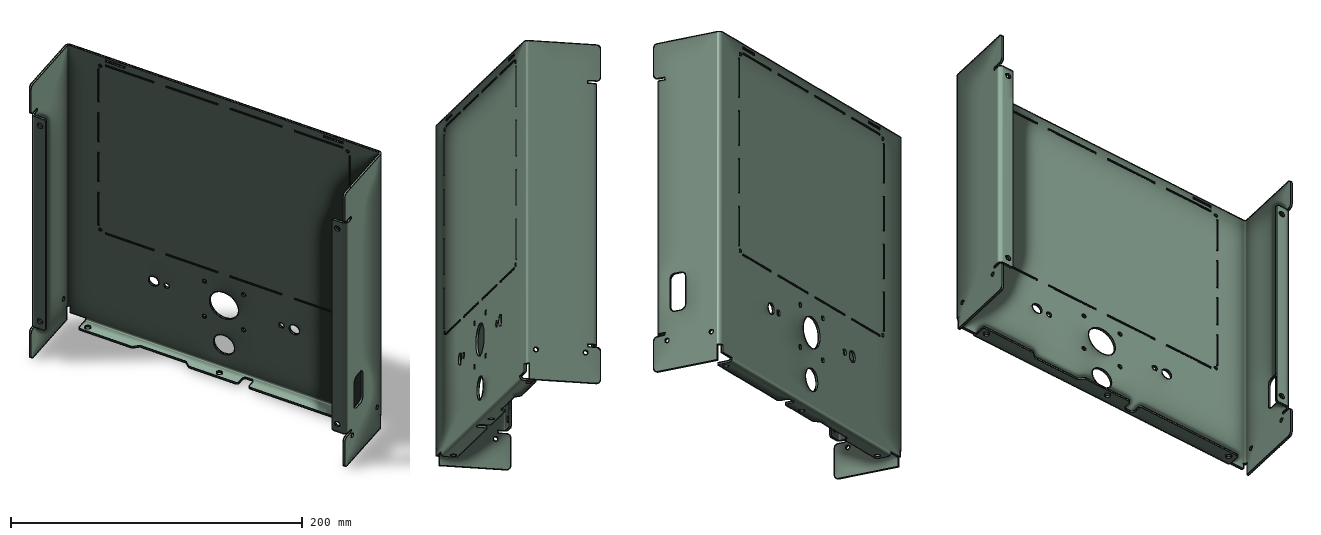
import cadquery as cq

width = 247.5
depth = 53.5
height = 239.5
sheet = 1.5
bend_radius = 3.0
inner_bend_radius = bend_radius - sheet

back = depth / 2
front = -depth / 2
top = height / 2
bottom = -height / 2
wall_outer = width / 2
wall_inner = wall_outer - sheet
panel_inner = back - sheet
bend_start_x = wall_outer - bend_radius
bend_start_y = back - bend_radius

flange_bottom = -117.0
panel_bottom = flange_bottom + bend_radius
relief_top = -108.6
panel_corner_radius = 0.7

wall_corner_radius = 3.0
lip_length = 184.5
lip_gap = 2.0
lip_front = -24.5
lip_tip_x = 112.3
lip_corner_radius = 1.5
notch_end = -17.5
notch_corner_radius = 1.0
lip_hole_x = 116.5
lip_hole_spacing = 171.2
lip_hole_diameter = 4.2
wall_hole_diameter = 3.2
wall_hole_z = -98.5
wall_hole_ys = (19.0, -16.0)
wall_opening_width = 12.4
wall_opening_corner_radius = 4.0
wall_opening_length = 27.7
wall_opening_y = -7.5
wall_opening_z = -64.3

flange_half_width = 108.5
flange_front = 14.8
flange_corner_radius = 1.2
flange_hole_spacing = 103.2
flange_hole_y = 18.8
flange_hole_diameter = 4.2
recess_left = -66.3
recess_right = -21.8
recess_slope_width = 4.2
recess_depth = 3.7
cable_notch_x = 20.8
cable_notch_width = 8.2
cable_notch_depth = 8.5
cable_notch_top_radius = 2.5
cable_notch_mouth_radius = 1.7

outline_z = 39.3
outline_half_width = 98.5
outline_half_height = 73.5
slit_width = 1.0
slit_gap = 10.0
long_slit = 40.3
side_slit = 25.0
slit_end_x = 93.0
slit_end_z = 68.3
outline_hole_x = 97.0
outline_hole_z = 71.8
outline_hole_diameter = 2.4

hanger_slot_height = 1.5
hanger_slot_inner = 78.0
hanger_slot_outer = 93.0
hanger_slot_z = 117.0
main_hole_z = -61.4
main_hole_diameter = 22.8
lower_hole_z = -95.8
lower_hole_diameter = 16.5
screw_offset = 15.3
screw_hole_diameter = 3.2
side_hole_x = 55.2
side_hole_diameter = 8.2
pin_hole_x = 45.0
pin_hole_diameter = 4.2

MIRROR = (-1, 1)


def block(x0, x1, y0, y1, z0, z1):
    """Box between two opposite corners."""
    return cq.Workplane("XY").box(x1 - x0, y1 - y0, z1 - z0, centered=False).translate((x0, y0, z0))


def panel_plane():
    """XZ sketch plane at the outer face of the back panel; extrusions run toward -Y."""
    return cq.Workplane("XZ", origin=(0, back, 0))


def panel_holes(points, diameter):
    return panel_plane().pushPoints(points).circle(diameter / 2).extrude(bend_radius)


def panel_rectangles(points, size_x, size_z):
    return panel_plane().pushPoints(points).rect(size_x, size_z).extrude(bend_radius)


def channel():
    """Back panel and both side walls, with the corner reliefs at the bottom."""
    outer = block(-wall_outer, wall_outer, front, back, bottom, top)
    outer = outer.edges("|Z and >Y").fillet(bend_radius)
    inner = block(-wall_inner, wall_inner, front, panel_inner, bottom, top)
    inner = inner.edges("|Z and >Y").fillet(inner_bend_radius)
    body = outer.cut(inner)

    below_panel = block(-wall_outer, wall_outer, bend_start_y, back, bottom, panel_bottom)
    body = body.cut(below_panel)
    for side in MIRROR:
        near, far = sorted((side * bend_start_x, side * wall_outer))
        body = body.cut(block(near, far, bend_start_y, back, bottom, relief_top))
    panel_corners = cq.selectors.BoxSelector(
        (-wall_outer, bend_start_y, panel_bottom - sheet),
        (wall_outer, back + sheet, panel_bottom + sheet),
    )
    return body.edges("|Y").edges(panel_corners).fillet(panel_corner_radius)


def wall_cutout():
    """Removes the wall edge where the lip is folded and has rounded inner corners."""
    span = lip_length + 2 * lip_gap
    gap = block(-wall_outer, wall_outer, front, notch_end, -span / 2, span / 2)
    return gap.edges("|X and >Y").fillet(notch_corner_radius)


def round_tabs(walls):
    """Rounds the front corners of the tabs above and below each lip."""
    tab_edges = cq.selectors.BoxSelector(
        (-width, front - sheet, bottom - sheet), (width, front + sheet, top + sheet)
    )
    return walls.edges("|X").edges(tab_edges).fillet(wall_corner_radius)


def lip():
    """Lip of the +X wall, folded inward, with its two holes."""
    lip_back = lip_front + sheet
    bend_y = lip_front + bend_radius
    strip = (
        cq.Workplane("XY", origin=(0, 0, -lip_length / 2))
        .moveTo(wall_outer, notch_end)
        .lineTo(wall_outer, bend_y)
        .radiusArc((bend_start_x, lip_front), bend_radius)
        .lineTo(lip_tip_x, lip_front)
        .lineTo(lip_tip_x, lip_back)
        .lineTo(bend_start_x, lip_back)
        .radiusArc((wall_inner, bend_y), -inner_bend_radius)
        .lineTo(wall_inner, notch_end)
        .close()
        .extrude(lip_length)
    )
    strip = strip.edges("|Y and <X").fillet(lip_corner_radius)
    holes = (
        cq.Workplane("XZ", origin=(lip_hole_x, lip_back, 0))
        .rarray(2.5, lip_hole_spacing, 1, 2)
        .circle(lip_hole_diameter / 2)
        .extrude(sheet)
    )
    return strip.cut(holes)


def flange():
    """Bottom flange with its bend, edge recess, cable notch and holes."""
    inner_face = flange_bottom + sheet
    strip = (
        cq.Workplane("YZ", origin=(-flange_half_width, 0, 0))
        .moveTo(back, panel_bottom)
        .radiusArc((bend_start_y, flange_bottom), bend_radius)
        .lineTo(flange_front, flange_bottom)
        .lineTo(flange_front, inner_face)
        .lineTo(bend_start_y, inner_face)
        .radiusArc((panel_inner, panel_bottom), -inner_bend_radius)
        .close()
        .extrude(2 * flange_half_width)
    )
    sketch_plane = cq.Workplane("XY", origin=(0, 0, flange_bottom))
    strip = strip.edges("|Z and <Y").fillet(flange_corner_radius)
    recess = sketch_plane.polyline([
        (recess_left, flange_front),
        (recess_left + recess_slope_width, flange_front + recess_depth),
        (recess_right - recess_slope_width, flange_front + recess_depth),
        (recess_right, flange_front),
    ]).close().extrude(sheet)
    notch = block(
        cable_notch_x - cable_notch_width / 2, cable_notch_x + cable_notch_width / 2,
        flange_front, flange_front + cable_notch_depth, flange_bottom, inner_face,
    ).edges("|Z and >Y").fillet(cable_notch_top_radius)
    holes = (
        sketch_plane.pushPoints([(i * flange_hole_spacing, flange_hole_y) for i in (-1, 0, 1)])
        .circle(flange_hole_diameter / 2)
        .extrude(sheet)
    )
    strip = strip.cut(recess).cut(notch).cut(holes)
    mouth = cq.selectors.BoxSelector(
        (cable_notch_x - cable_notch_width, flange_front - sheet, flange_bottom - sheet),
        (cable_notch_x + cable_notch_width, flange_front + sheet, inner_face + sheet),
    )
    return strip.edges("|Z").edges(mouth).fillet(cable_notch_mouth_radius)


def outline_perforation():
    """Slits on the four sides of a rectangle and a small hole at each corner, as a list of cutters."""
    inner_end = slit_gap / 2
    x_spans = [(inner_end, inner_end + long_slit), (inner_end + long_slit + slit_gap, slit_end_x)]
    z_spans = [(inner_end, inner_end + side_slit), (inner_end + side_slit + slit_gap, slit_end_z)]
    cutters = [panel_holes(outline_points(outline_hole_x, outline_hole_z), outline_hole_diameter)]
    for start, end in x_spans:
        centres = outline_points((start + end) / 2, outline_half_height)
        cutters.append(panel_rectangles(centres, end - start, slit_width))
    for start, end in z_spans:
        centres = outline_points(outline_half_width, (start + end) / 2)
        cutters.append(panel_rectangles(centres, slit_width, end - start))
    return cutters


def outline_points(x, z):
    """Four mirrored points about the centre of the perforated rectangle."""
    return [(i * x, outline_z + k * z) for i in MIRROR for k in MIRROR]


def hanger_slots():
    centre = (hanger_slot_inner + hanger_slot_outer) / 2
    points = [(side * centre, hanger_slot_z) for side in MIRROR]
    return panel_rectangles(points, hanger_slot_outer - hanger_slot_inner, hanger_slot_height)


def wall_holes():
    """Two holes through each side wall."""
    return (
        cq.Workplane("YZ", origin=(-wall_outer, 0, 0))
        .pushPoints([(y, wall_hole_z) for y in wall_hole_ys])
        .circle(wall_hole_diameter / 2)
        .extrude(width)
    )


def wall_opening():
    """Upright opening with rounded corners through the +X wall only."""
    opening = (
        cq.Workplane("YZ", origin=(wall_inner, 0, 0))
        .center(wall_opening_y, wall_opening_z)
        .rect(wall_opening_width, wall_opening_length)
        .extrude(sheet)
    )
    return opening.edges("|X").fillet(wall_opening_corner_radius)


right_lip = lip()
body = round_tabs(channel().cut(wall_cutout()))
body = body.union(right_lip).union(right_lip.mirror("YZ")).union(flange())

screw_points = [(i * screw_offset, main_hole_z + k * screw_offset) for i in MIRROR for k in MIRROR]
body = body.cut(panel_holes([(0, main_hole_z)], main_hole_diameter))
body = body.cut(panel_holes([(0, lower_hole_z)], lower_hole_diameter))
body = body.cut(panel_holes(screw_points, screw_hole_diameter))
body = body.cut(panel_holes([(i * side_hole_x, main_hole_z) for i in MIRROR], side_hole_diameter))
body = body.cut(panel_holes([(i * pin_hole_x, main_hole_z) for i in MIRROR], pin_hole_diameter))
for cutter in outline_perforation():
    body = body.cut(cutter)
body = body.cut(hanger_slots())
body = body.cut(wall_holes())
result = body.cut(wall_opening())